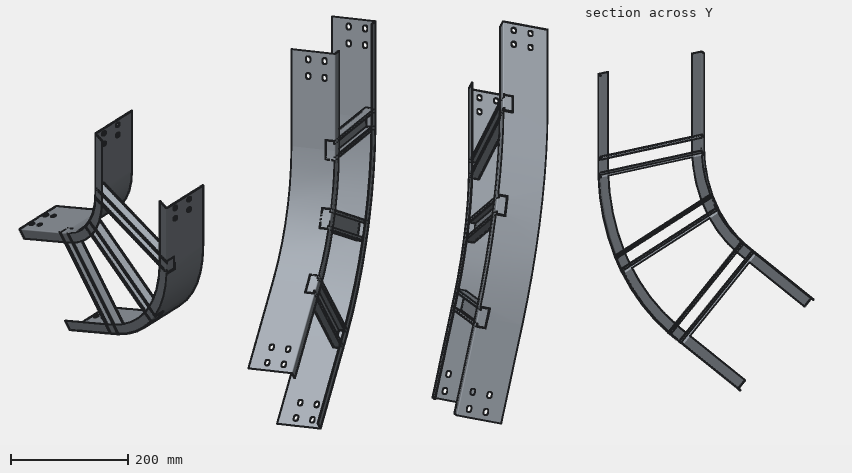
import cadquery as cq
import math


overall_height = 649.0
bend_angle = 45.0
ladder_width = 200.0
inner_radius = 300.0
outer_radius = inner_radius + ladder_width
bend_sine = math.sin(math.radians(bend_angle))
arm_length = (overall_height - outer_radius * bend_sine) / (1 + bend_sine)

rail_depth = 80.0
flange_width = 19.5
sheet = 1.6
fold_inside_radius = 0.3
fold_outside_radius = fold_inside_radius + sheet

rung_height = 36.0
rung_depth = 17.0
rung_lip = 6.0

slots_per_row = 2
slot_length = 11.0
slot_width = 8.0
slot_pitch = 30.0
slot_end_distance = 15.0
slot_front_distance = 19.5


def turn_along_bend(body, angle):
    """Turn a body about the bend axis, from the upper arm towards the lower arm."""
    return body.rotate((0, 0, 0), (0, 1, 0), angle)


def rail_section(web_radius, inward):
    """Folded L section in XY; inward is +1 or -1, the X direction of the flange."""
    flange_edge = web_radius + inward * flange_width
    web_inside = web_radius + inward * sheet
    fold_end = web_radius + inward * fold_outside_radius
    return (
        cq.Workplane("XY")
        .moveTo(web_radius, rail_depth)
        .lineTo(web_radius, fold_outside_radius)
        .tangentArcPoint((fold_end, 0), relative=False)
        .lineTo(flange_edge, 0)
        .lineTo(flange_edge, sheet)
        .lineTo(fold_end, sheet)
        .tangentArcPoint((web_inside, fold_outside_radius), relative=False)
        .lineTo(web_inside, rail_depth)
        .close()
    )


def joint_slots(web_radius):
    """Cutters for the slots at the top end of an upper arm."""
    rows = [arm_length - slot_end_distance - row * slot_pitch for row in range(slots_per_row)]
    columns = [slot_front_distance + column * slot_pitch for column in range(slots_per_row)]
    return (
        cq.Workplane("YZ", origin=(web_radius, 0, 0))
        .pushPoints([(y, z) for y in columns for z in rows])
        .slot2D(slot_length, slot_width, 90)
        .extrude(2 * sheet, both=True)
    )


def rail(web_radius, inward):
    """Two slotted straight arms with the bend between them."""
    arm = rail_section(web_radius, inward).extrude(arm_length).cut(joint_slots(web_radius))
    bend = rail_section(web_radius, inward).revolve(bend_angle, (0, 0), (0, 1))
    lower_arm = turn_along_bend(arm.mirror("XY"), bend_angle)
    return arm.union(bend).union(lower_arm)


def rung(angle):
    """Lipped channel lying behind the flanges, as long as the ladder is wide."""
    half_height = rung_height / 2
    mouth_half_height = half_height - rung_lip
    front = sheet
    back = front + rung_depth
    channel = (
        cq.Workplane("YZ", origin=(inner_radius, 0, 0))
        .moveTo(front, mouth_half_height)
        .lineTo(front, half_height)
        .lineTo(back, half_height)
        .lineTo(back, -half_height)
        .lineTo(front, -half_height)
        .lineTo(front, -mouth_half_height)
        .lineTo(front + sheet, -mouth_half_height)
        .lineTo(front + sheet, -half_height + sheet)
        .lineTo(back - sheet, -half_height + sheet)
        .lineTo(back - sheet, half_height - sheet)
        .lineTo(front + sheet, half_height - sheet)
        .lineTo(front + sheet, mouth_half_height)
        .close()
        .extrude(ladder_width)
    )
    return turn_along_bend(channel, angle)


result = rail(inner_radius, 1).union(rail(outer_radius, -1))
for rung_angle in (0, bend_angle / 2, bend_angle):
    result = result.union(rung(rung_angle))